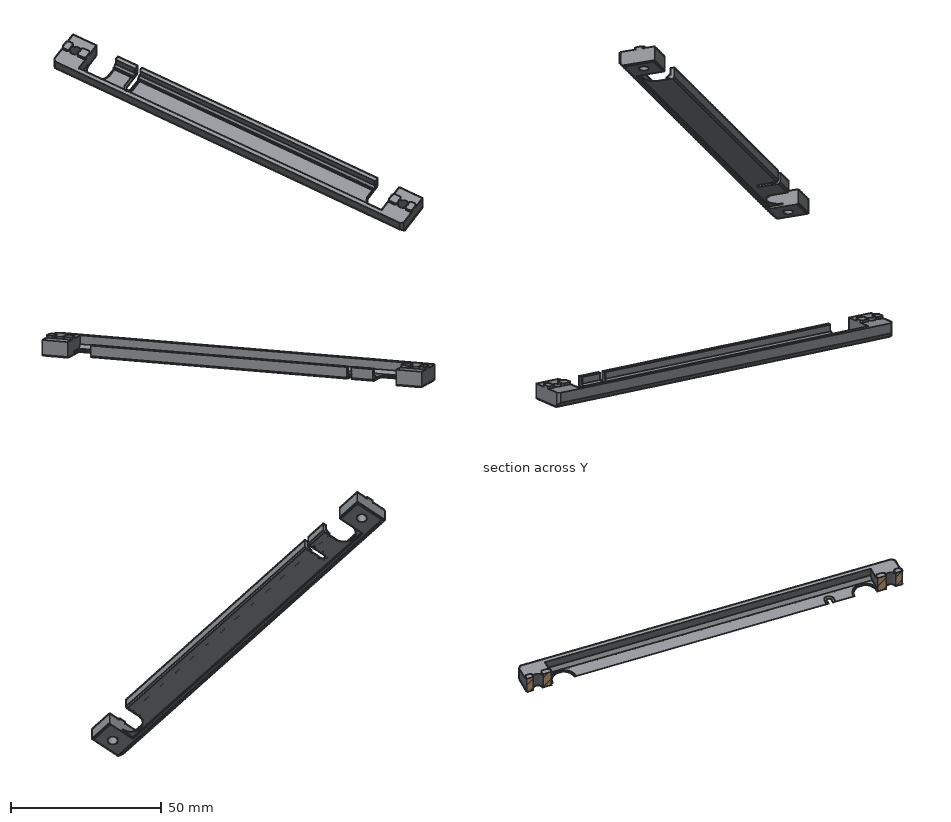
import cadquery as cq
import math

length = 136.0
width = 13.0
body_height = 5.5
total_height = 6.3
front_corner_chamfer = 1.0
front_bottom_chamfer = 1.9
bottom_chamfer = 0.4

block_length = 9.1
front_wall = 1.6
front_foot_chamfer = 1.2
back_wall = 1.6
back_wall_top = 4.9
back_foot_chamfer = 0.8
back_ledge = 0.4
back_step = 0.5
back_bottom_chamfer = 0.5
floor_top = 1.2
floor_bottom = 0.8

axis_from_back = 5.6
hole_diameter = 3.4
hole_from_end = 4.2
key_width = 3.4
key_gap = 3.1
key_corner_chamfer = 0.5

notch_from_end = 13.5
notch_width = 7.9
notch_bevel = 0.4

slot_from_end = 26.0
slot_arc_from_back = 7.1
slot_width = 1.6
slot_bevel = 0.8

bevel_depth = 0.3
wall_bevel = 0.4

tray_length = length - 2 * block_length
axis_y = width - axis_from_back
back_face = width - back_wall
back_ledge_end = back_face - back_foot_chamfer
back_foot = back_ledge_end - back_ledge
back_step_top = floor_top + back_step
back_chamfer_top = back_step_top + back_foot_chamfer
front_foot = front_wall + front_foot_chamfer


def box(x, y, z, size_x, size_y, size_z):
    """Box given by its lowest corner and its size."""
    return cq.Workplane("XY").box(size_x, size_y, size_z, centered=False).translate((x, y, z))


def tray_prism(outline):
    """Extrude a closed YZ outline over the tray length."""
    return outline.close().extrude(tray_length)


def tray_outline(y, z):
    """Start a YZ outline at the left end of the tray."""
    return cq.Workplane("YZ", origin=(block_length, 0, 0)).moveTo(y, z)


def make_body():
    body = box(0, 0, 0, length, width, body_height)
    body = body.edges("|Z and <Y").chamfer(front_corner_chamfer)
    front_corner = [(0, 0), (front_bottom_chamfer, 0), (0, front_bottom_chamfer)]
    body = body.cut(cq.Workplane("YZ").polyline(front_corner).close().extrude(length))
    return body.faces("<Z").edges("<X or >X or >Y").chamfer(bottom_chamfer)


def tray_pocket():
    """Space above the floor, the stepped foot of the back wall and the wall's lowered top."""
    return tray_prism(
        tray_outline(front_wall, body_height)
        .lineTo(front_wall, floor_top + front_foot_chamfer)
        .lineTo(front_foot, floor_top)
        .lineTo(back_foot, floor_top)
        .lineTo(back_foot, back_step_top)
        .lineTo(back_ledge_end, back_step_top)
        .lineTo(back_face, back_chamfer_top)
        .lineTo(back_face, back_wall_top)
        .lineTo(width, back_wall_top)
        .lineTo(width, body_height)
    )


def tray_underside():
    """Shallow recess under the floor with a chamfer below the back wall."""
    return tray_prism(
        tray_outline(front_foot, 0)
        .lineTo(front_foot, floor_bottom)
        .lineTo(width - back_bottom_chamfer, floor_bottom)
        .lineTo(width, floor_bottom + back_bottom_chamfer)
        .lineTo(width, 0)
    )


def u_outline(center_x, arc_y, radius, open_y, z):
    """U outline, round towards the front and ending straight at open_y."""
    return (
        cq.Workplane("XY", origin=(center_x, 0, z))
        .moveTo(-radius, open_y)
        .lineTo(-radius, arc_y)
        .threePointArc((0, arc_y - radius), (radius, arc_y))
        .lineTo(radius, open_y)
        .close()
    )


def u_cutout(center_x, arc_y, opening, bevel):
    """Upright U-shaped cut with beveled rims on the floor and on the back wall."""
    radius = opening / 2
    bevel_angle = math.degrees(math.atan(bevel / bevel_depth))
    cut = u_outline(center_x, arc_y, radius, width, 0).extrude(body_height)
    floor_rim = u_outline(center_x, arc_y, radius + bevel, back_face, floor_top)
    floor_rim = floor_rim.extrude(-bevel_depth, taper=bevel_angle)
    wall_rim = (
        cq.Workplane("XY", origin=(center_x, back_face, back_chamfer_top))
        .moveTo(-radius - wall_bevel, 0)
        .lineTo(radius + wall_bevel, 0)
        .lineTo(radius, wall_bevel)
        .lineTo(-radius, wall_bevel)
        .close()
        .extrude(body_height)
    )
    return cut.union(floor_rim).union(wall_rim)


def notch_cutouts():
    """Both end notches, cleared up to the faces of the end blocks."""
    cuts = u_cutout(notch_from_end, axis_y, notch_width, notch_bevel)
    leg_width = notch_from_end - block_length
    cuts = cuts.union(box(block_length, axis_y, 0, leg_width, axis_from_back, body_height))
    cuts = cuts.union(cuts.mirror("YZ", (length / 2, 0, 0)))
    return cuts.intersect(box(block_length, 0, 0, tray_length, width, body_height))


def key_bars():
    """Raised key on each end block, split in two by a gap at the hole."""
    spans = ((0, hole_from_end - key_gap / 2), (hole_from_end + key_gap / 2, block_length))
    bars = cq.Workplane("XY")
    for start, end in spans:
        for x in (start, length - end):
            bar = box(
                x, axis_y - key_width / 2, body_height,
                end - start, key_width, total_height - body_height,
            )
            bars = bars.add(bar.edges("|Z").chamfer(key_corner_chamfer))
    return bars.combine()


def mounting_holes():
    centers = [(hole_from_end, axis_y), (length - hole_from_end, axis_y)]
    return cq.Workplane("XY").pushPoints(centers).circle(hole_diameter / 2).extrude(total_height)


slot = u_cutout(slot_from_end, width - slot_arc_from_back, slot_width, slot_bevel)

result = (
    make_body()
    .cut(tray_pocket())
    .cut(tray_underside())
    .cut(notch_cutouts())
    .cut(slot)
    .union(key_bars())
    .cut(mounting_holes())
)